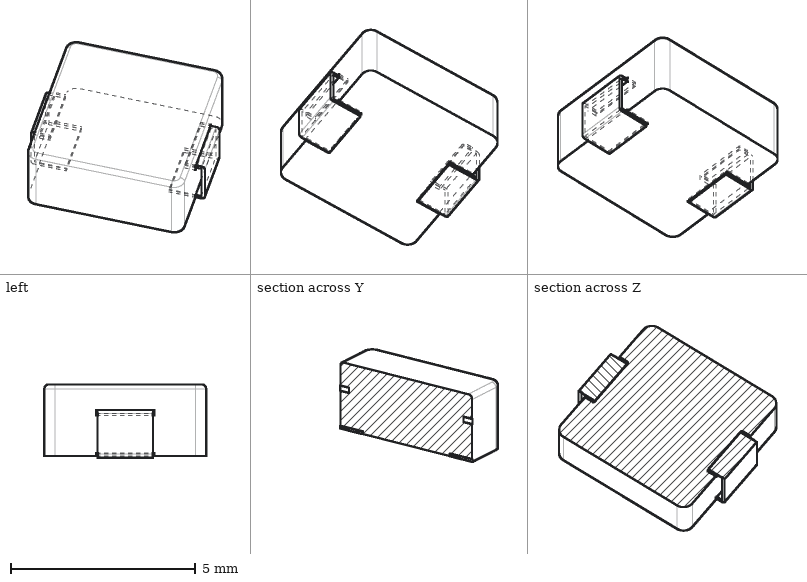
import cadquery as cq

body_side = 4.4
total_height = 2.0
body_bottom = 0.05
corner_radius = 0.295
top_edge_radius = 0.125

terminal_span = 4.9
terminal_width = 1.5
strip_thickness = 0.1
bend_radius = 0.1
terminal_height = 1.3
foot_length = 1.0
arm_embed = 0.295

recess_side_gap = 0.05
recess_under_gap = 0.05
recess_over_gap = 0.03

half_span = terminal_span / 2
half_body = body_side / 2
recess_width = terminal_width + 2 * recess_side_gap
inner_x = half_span - strip_thickness
arm_end_x = half_body - arm_embed
foot_end_x = half_span - foot_length


def make_terminal(side):
    """One C-shaped strip; side is -1 for the -X end and +1 for the +X end."""
    arm_bottom = terminal_height - strip_thickness
    outline = [
        (side * half_span, 0),
        (side * half_span, terminal_height),
        (side * arm_end_x, terminal_height),
        (side * arm_end_x, arm_bottom),
        (side * inner_x, arm_bottom),
        (side * inner_x, strip_thickness),
        (side * foot_end_x, strip_thickness),
        (side * foot_end_x, 0),
    ]
    strip = cq.Workplane("XZ").polyline(outline).close().extrude(terminal_width / 2, both=True)
    outer_face = "<X" if side < 0 else ">X"
    return strip.faces(outer_face).edges("|Y").fillet(bend_radius)


def make_recess(side, inner_end, z_low, z_high):
    """Rectangular cutter from the body side wall inward to inner_end."""
    depth = half_body - inner_end
    return (
        cq.Workplane("XY")
        .box(depth, recess_width, z_high - z_low)
        .translate((side * (half_body + inner_end) / 2, 0, (z_low + z_high) / 2))
    )


def make_body():
    """Rounded block with recesses for both terminals."""
    body = (
        cq.Workplane("XY")
        .workplane(offset=body_bottom)
        .rect(body_side, body_side)
        .extrude(total_height - body_bottom)
        .edges("|Z")
        .fillet(corner_radius)
        .faces(">Z")
        .edges()
        .fillet(top_edge_radius)
    )
    arm_low = terminal_height - strip_thickness - recess_under_gap
    foot_high = strip_thickness + recess_over_gap
    for side in (-1, 1):
        body = body.cut(make_recess(side, arm_end_x, arm_low, terminal_height))
        body = body.cut(make_recess(side, foot_end_x, body_bottom, foot_high))
    return body


body = make_body()
terminals = [make_terminal(side).val() for side in (-1, 1)]

result = cq.Compound.makeCompound([body.val(), *terminals])